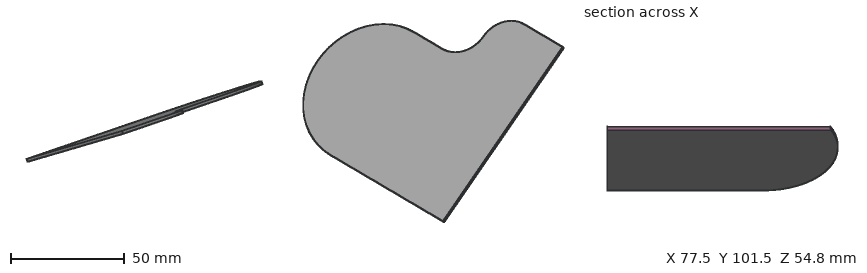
import cadquery as cq

plate_length = 101.5
lobe_radius = 32.9
corner_radius = 13.9
shoulder_height = 37.3
thickness = 1.4
tilt_angle = 35.0

lobe_width = 2 * lobe_radius
plate_width = lobe_width + 2 * corner_radius
lobe_center_y = plate_length - lobe_radius


def plate_outline():
    """Straight base, round lobe on the left and a low shoulder joined by an S-bend."""
    return (
        cq.Workplane("XY")
        .lineTo(plate_width, 0)
        .lineTo(plate_width, shoulder_height - corner_radius)
        .radiusArc((plate_width - corner_radius, shoulder_height), -corner_radius)
        .radiusArc((lobe_width, shoulder_height + corner_radius), corner_radius)
        .lineTo(lobe_width, lobe_center_y)
        .threePointArc((lobe_radius, plate_length), (0, lobe_center_y))
        .close()
    )


flat_plate = plate_outline().extrude(thickness)
result = flat_plate.rotate((0, 0, 0), (0, 1, 0), -tilt_angle)